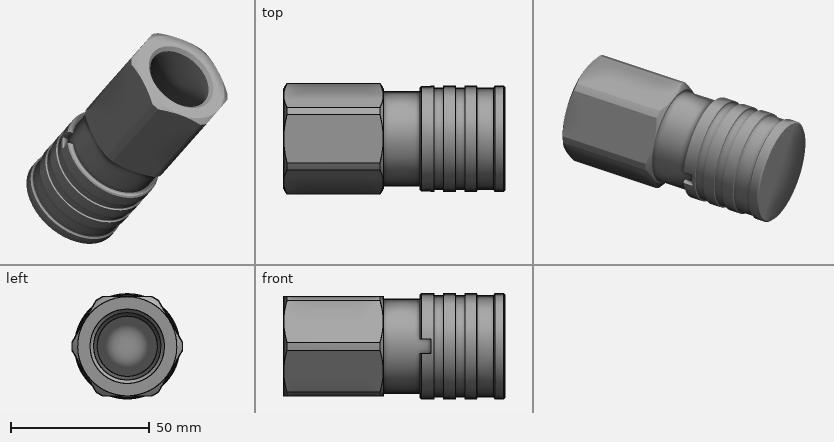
import cadquery as cq
import math

TOTAL_LENGTH = 79.9

HEX_SIDES = 6
HEX_LENGTH = 36.0
HEX_ACROSS_FLATS = 36.0
HEX_TURNED_DIAMETER = 40.0
HEX_CORNER_RADIUS = HEX_TURNED_DIAMETER / 2
HEX_FACE_RADIUS = 17.9
HEX_CHAMFER_ANGLE = 30.0
NECK_RADIUS = 17.0
BORE_MOUTH_RADIUS = 13.4
BORE_RADIUS = 12.15
BORE_FLOOR_RADIUS = 10.9
BORE_MOUTH_CHAMFER = BORE_MOUTH_RADIUS - BORE_RADIUS
BORE_FLOOR_CONE_ANGLE = 30.0
BORE_DEPTH = HEX_LENGTH

SLEEVE_START = 49.3
SLEEVE_RADIUS = 19.0
GROOVE_RADIUS = 18.3
SLEEVE_CHAMFER = 0.5
GROOVES = [
    (54.25, 57.8, 0.0, 0.0),
    (62.0, 65.5, 0.0, 0.0),
    (69.7, 76.3, 0.15, 0.5),
]
SLOT_END = 53.2
SLOT_WIDTH = 5.3
SLOT_CORNER_RADIUS = 0.4


def revolve_about_x(profile):
    """Revolve a closed (x, radius) outline about the X axis."""
    return cq.Workplane("XZ").polyline(profile).close().revolve(360, (0, 0, 0), (1, 0, 0))


def make_hex_grip():
    """Hexagon with flats facing +Z and -Z, turned down at the corners and chamfered at both ends."""
    sharp_corner_diameter = HEX_ACROSS_FLATS / math.cos(math.pi / HEX_SIDES)
    hexagon = cq.Workplane("YZ").polygon(HEX_SIDES, sharp_corner_diameter).extrude(HEX_LENGTH)
    chamfer_run = (HEX_CORNER_RADIUS - HEX_FACE_RADIUS) * math.tan(math.radians(HEX_CHAMFER_ANGLE))
    turned_envelope = revolve_about_x([
        (0, 0),
        (0, HEX_FACE_RADIUS),
        (chamfer_run, HEX_CORNER_RADIUS),
        (HEX_LENGTH - chamfer_run, HEX_CORNER_RADIUS),
        (HEX_LENGTH, HEX_FACE_RADIUS),
        (HEX_LENGTH, 0),
    ])
    return hexagon.intersect(turned_envelope)


def make_bore():
    """Blind bore with a chamfered mouth and a cone leading to its flat floor."""
    cone_run = (BORE_RADIUS - BORE_FLOOR_RADIUS) * math.tan(math.radians(BORE_FLOOR_CONE_ANGLE))
    return revolve_about_x([
        (0, 0),
        (0, BORE_MOUTH_RADIUS),
        (BORE_MOUTH_CHAMFER, BORE_RADIUS),
        (BORE_DEPTH - cone_run, BORE_RADIUS),
        (BORE_DEPTH, BORE_FLOOR_RADIUS),
        (BORE_DEPTH, 0),
    ])


def make_body():
    """Hexagonal grip with the neck that carries the sleeve."""
    neck_length = TOTAL_LENGTH - HEX_LENGTH
    neck = cq.Workplane("YZ").workplane(offset=HEX_LENGTH).circle(NECK_RADIUS).extrude(neck_length)
    return make_hex_grip().union(neck).cut(make_bore())


def make_slots():
    """Slot cutter across the sleeve, open at the rear edge, with rounded inner corners."""
    return (
        cq.Workplane("XY")
        .box(SLOT_END - SLEEVE_START, 2 * SLEEVE_RADIUS, SLOT_WIDTH)
        .edges("|Y and >X")
        .fillet(SLOT_CORNER_RADIUS)
        .translate(((SLEEVE_START + SLOT_END) / 2, 0, 0))
    )


def make_sleeve():
    """Grooved ring that fits over the neck."""
    profile = [
        (SLEEVE_START, NECK_RADIUS),
        (SLEEVE_START, SLEEVE_RADIUS - SLEEVE_CHAMFER),
        (SLEEVE_START + SLEEVE_CHAMFER, SLEEVE_RADIUS),
    ]
    for start, end, start_slope, end_slope in GROOVES:
        profile += [
            (start, SLEEVE_RADIUS),
            (start + start_slope, GROOVE_RADIUS),
            (end - end_slope, GROOVE_RADIUS),
            (end, SLEEVE_RADIUS),
        ]
    profile += [
        (TOTAL_LENGTH - SLEEVE_CHAMFER, SLEEVE_RADIUS),
        (TOTAL_LENGTH, SLEEVE_RADIUS - SLEEVE_CHAMFER),
        (TOTAL_LENGTH, NECK_RADIUS),
    ]
    return revolve_about_x(profile).cut(make_slots())


body = make_body()
sleeve = make_sleeve()
result = cq.Compound.makeCompound([body.val(), sleeve.val()])